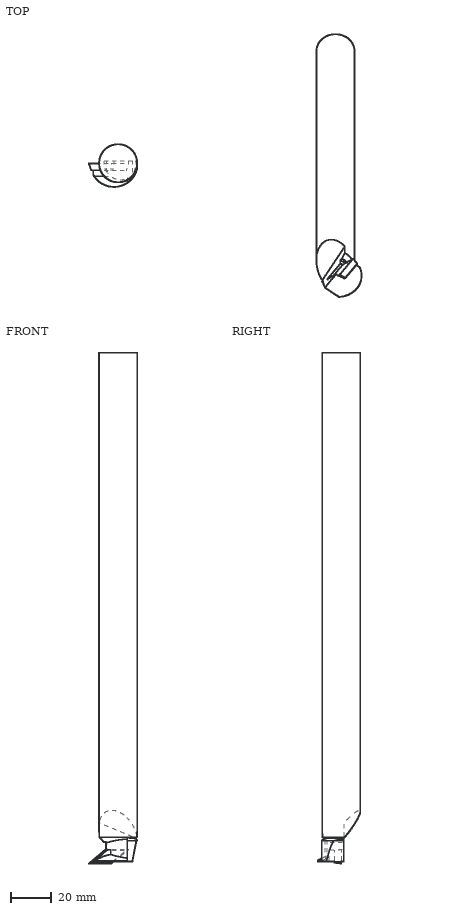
import cadquery as cq
import math

total_length = 255.2
shank_radius = 19.1 / 2
collar_top = 16.0
collar_bottom = 13.3
collar_radius = 9.5

neck_radius = 7.1
neck_x = 1.0
neck_y = -1.0
neck_top = 10.7

head_x = -2.0
head_radius = 11.87
head_bottom = 1.0
head_rim_top = 1.5
head_cone_top = 6.5
head_cone_angle = 30.0
wall_left = 4.5
wall_top = 11.5
wall_flare_top = 13.8
wall_right_top = 9.2
wall_right_bottom = 7.1
face_y = 1.3

relief_height = 15.0
relief_slope_x = -0.42
relief_slope_y = 1.15

tip_x = -14.68
insert_side = 11.2
insert_angle = 40.0
insert_thickness = 3.5
insert_clearance = 7.0

seat_setback = 1.0
seat_top = 7.0
seat_back_y = -6.5

clear = 51.0


def revolve_profile(points, axis_x=0.0):
    """Revolve a closed (radius, z) outline about a vertical axis."""
    outline = cq.Workplane("XZ").polyline(points).close()
    return outline.revolve(360, (0, 0), (0, 1)).translate((axis_x, 0, 0))


def make_shank():
    return revolve_profile([
        (0, neck_top),
        (neck_radius, neck_top),
        (collar_radius, collar_bottom),
        (shank_radius, collar_top),
        (shank_radius, total_length),
        (0, total_length),
    ])


def make_neck():
    neck = cq.Workplane("XY", origin=(neck_x, neck_y, head_bottom)).circle(neck_radius)
    return neck.extrude(collar_bottom - head_bottom)


def make_head_base():
    cone_radius = head_radius - (head_cone_top - head_rim_top) / math.tan(math.radians(head_cone_angle))
    return revolve_profile([
        (0, head_bottom),
        (head_radius, head_bottom),
        (head_radius, head_rim_top),
        (cone_radius, head_cone_top),
        (0, head_cone_top),
    ], head_x).intersect(seat_outline(0, head_cone_top).extrude(clear, both=True))


def seat_outline(y, top):
    """Outline under the sloping seat line, which is set back from the insert's edge."""
    slope = math.tan(math.radians(insert_angle))
    toe_x = tip_x + seat_setback + head_bottom / slope
    return cq.Workplane("XZ", origin=(0, y, 0)).polyline([
        (toe_x, head_bottom),
        (toe_x + (top - head_bottom) / slope, top),
        (clear, top),
        (clear, head_bottom),
    ]).close()


def make_seat():
    """Sloping shelf that backs the insert, bounded by the round head and the neck."""
    shelf = seat_outline(face_y, seat_top).extrude(face_y - seat_back_y)
    disk = cq.Workplane("XY", origin=(head_x, 0, head_bottom)).circle(head_radius)
    left_side = cq.Workplane("XY").box(clear, clear, clear, centered=(False, True, True))
    left_side = left_side.translate((neck_x - clear, 0, 0))
    return shelf.intersect(disk.extrude(seat_top - head_bottom)).intersect(left_side)


def make_head_wall():
    """Tall wall on the +X side, flared up into the shank."""
    disk = revolve_profile([
        (0, head_bottom),
        (head_radius, head_bottom),
        (head_radius, wall_top),
        (collar_radius, wall_flare_top),
        (0, wall_flare_top),
    ], head_x)
    wall_side = cq.Workplane("XY").box(shank_radius - wall_left, clear, clear, centered=(False, True, True))
    return disk.intersect(wall_side.translate((wall_left, 0, 0)))


def make_side_relief():
    """Wedge that slopes the +X side of the head inward toward the bottom."""
    wedge = cq.Workplane("XZ").polyline([
        (wall_right_bottom, head_bottom),
        (wall_right_top, wall_top),
        (clear, wall_top),
        (clear, head_bottom),
    ])
    return wedge.close().extrude(clear, both=True)


def make_face_cut():
    """Everything in front of the flat head face, below the skew relief plane."""
    normal = cq.Vector(relief_slope_x, relief_slope_y, -1)
    plane = cq.Plane(origin=(0, 0, relief_height), normal=normal)
    below_plane = cq.Workplane(plane).rect(2 * clear, 2 * clear).extrude(clear)
    ahead_of_face = cq.Workplane("XY").box(2 * clear, clear, 2 * clear, centered=(True, False, True))
    return below_plane.intersect(ahead_of_face.translate((0, face_y, 0)))


def rhombus(y):
    rise = insert_side * math.sin(math.radians(insert_angle))
    run = insert_side * math.cos(math.radians(insert_angle))
    return cq.Workplane("XZ", origin=(0, y, 0)).polyline([
        (tip_x, 0),
        (tip_x + insert_side, 0),
        (tip_x + insert_side + run, rise),
        (tip_x + run, rise),
    ]).close()


def make_insert():
    return rhombus(0).extrude(insert_thickness, taper=insert_clearance)


def make_pocket_opening():
    """Straight opening from the insert's rake face out through the head face."""
    return rhombus(0).extrude(-clear)


insert = make_insert()

bar = make_shank().union(make_neck())
bar = bar.union(make_head_base()).union(make_seat()).union(make_head_wall())
bar = bar.cut(make_side_relief())
bar = bar.cut(make_face_cut())
bar = bar.cut(make_pocket_opening()).cut(insert)

result = cq.Compound.makeCompound([bar.solids().val(), insert.solids().val()])